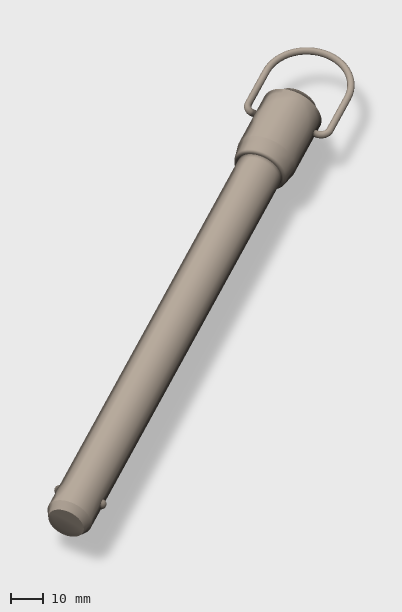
import cadquery as cq

total_length = 204.2
shank_radius = 7.4
tip_radius = 6.0
tip_chamfer_length = 2.7

handle_radius = 9.7
handle_start = 152.3
handle_end = 178.3
handle_taper_start = 157.9
handle_nose_radius = 8.5
handle_nose_edge_radius = 0.8

collar_height = 0.6
button_radius = 6.7
button_height = 3.7
button_edge_radius = 0.8

ball_radius = 1.6
ball_reach = 8.5
ball_position = 11.2

wire_radius = 1.12
ring_width = 29.5
ring_foot_position = 172.8
ring_bend_radius = 2.9
wire_embedding = 3.0


def cylinder(radius, start, length):
    """Cylinder on the pin axis, running toward +Y."""
    return cq.Workplane("XZ", origin=(0, start, 0)).circle(radius).extrude(-length)


def make_shank():
    """Shank with a chamfered tip, running up into the handle."""
    profile = [
        (0, 0),
        (tip_radius, 0),
        (shank_radius, tip_chamfer_length),
        (shank_radius, handle_end),
        (0, handle_end),
    ]
    return cq.Workplane("XY").polyline(profile).close().revolve(360, (0, 0), (0, 1))


def make_handle():
    """Cylindrical handle with a tapered nose, rounded where it meets the shank."""
    profile = [
        (0, handle_start),
        (handle_nose_radius, handle_start),
        (handle_radius, handle_taper_start),
        (handle_radius, handle_end),
        (0, handle_end),
    ]
    handle = cq.Workplane("XY").polyline(profile).close().revolve(360, (0, 0), (0, 1))
    return handle.faces("<Y").edges().fillet(handle_nose_edge_radius)


def make_button():
    """Release button with a rounded top rim, standing on a low collar."""
    collar = cylinder(shank_radius, handle_end, collar_height)
    button = cylinder(button_radius, handle_end + collar_height, button_height - collar_height)
    return collar.union(button.faces(">Y").edges().fillet(button_edge_radius))


def make_ball(side):
    """Locking ball standing out of the shank on one side (-1 or +1)."""
    ball_center = side * (ball_reach - ball_radius)
    return cq.Workplane("XY").sphere(ball_radius).translate((ball_center, ball_position, 0))


def make_pull_ring():
    """Round-wire bail with both feet turned inward into the handle."""
    leg_x = ring_width / 2 - wire_radius
    arch_start = total_length - wire_radius - leg_x
    leg_start = ring_foot_position + ring_bend_radius
    bend_x = leg_x - ring_bend_radius
    foot_x = handle_radius - wire_embedding
    diagonal = 0.5**0.5
    bend_middle_x = bend_x + ring_bend_radius * diagonal
    bend_middle_y = leg_start - ring_bend_radius * diagonal
    path = (
        cq.Workplane("XY")
        .moveTo(-foot_x, ring_foot_position)
        .lineTo(-bend_x, ring_foot_position)
        .threePointArc((-bend_middle_x, bend_middle_y), (-leg_x, leg_start))
        .lineTo(-leg_x, arch_start)
        .threePointArc((0, arch_start + leg_x), (leg_x, arch_start))
        .lineTo(leg_x, leg_start)
        .threePointArc((bend_middle_x, bend_middle_y), (bend_x, ring_foot_position))
        .lineTo(foot_x, ring_foot_position)
    )
    section = cq.Workplane("YZ", origin=(-foot_x, ring_foot_position, 0)).circle(wire_radius)
    return section.sweep(path)


result = make_shank().union(make_handle()).union(make_button()).union(make_pull_ring())
for side in (-1, 1):
    result = result.union(make_ball(side))